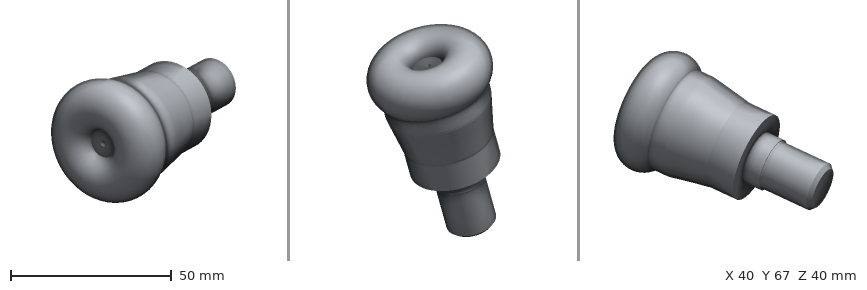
import cadquery as cq
import math

total_length = 67.0
band_end = 19.1
band_blend_end = 19.95
collar_blend_start = 32.6
collar_start = 33.4
collar_end = 43.15
step_end = 49.05
step_chamfer_end = 49.65

head_radius = 20.0
head_tube_radius = 8.0
band_radius = 17.0
band_blend_radius = 16.95
collar_radius = 14.5
collar_blend_radius = 14.7
step_radius = 8.6
step_chamfer_radius = 8.25
shank_radius = 8.0
shank_chamfer = 1.35

recess_radius = 4.55
centre_hole_radius = 1.0
centre_hole_depth = 0.6

tube_centre_radius = head_radius - head_tube_radius


def tube_half_height(radius):
    """Axial distance from the middle of the tube to its surface at a given radius."""
    return math.sqrt(head_tube_radius**2 - (radius - tube_centre_radius) ** 2)


recess_depth = head_tube_radius - tube_half_height(recess_radius)
head_end = head_tube_radius + tube_half_height(band_radius)

profile = (
    cq.Workplane("XY")
    .moveTo(0, recess_depth + centre_hole_depth)
    .lineTo(centre_hole_radius, recess_depth)
    .lineTo(recess_radius, recess_depth)
    .threePointArc((head_radius, head_tube_radius), (band_radius, head_end))
    .lineTo(band_radius, band_end)
    .lineTo(band_blend_radius, band_blend_end)
    .lineTo(collar_blend_radius, collar_blend_start)
    .lineTo(collar_radius, collar_start)
    .lineTo(collar_radius, collar_end)
    .lineTo(step_radius, collar_end)
    .lineTo(step_radius, step_end)
    .lineTo(step_chamfer_radius, step_end)
    .lineTo(shank_radius, step_chamfer_end)
    .lineTo(shank_radius, total_length - shank_chamfer)
    .lineTo(shank_radius - shank_chamfer, total_length)
    .lineTo(0, total_length)
    .close()
)

result = profile.revolve(360, (0, 0, 0), (0, 1, 0))